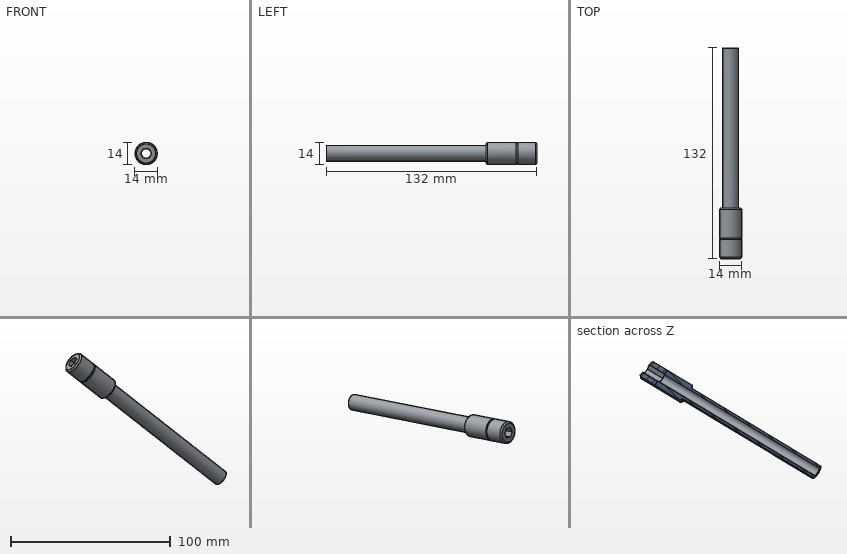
import cadquery as cq
import math

total_length = 132.0
front_y = -total_length / 2
body_diameter = 14.0
rod_diameter = 10.0
cap_length = 12.0
collar_length = 19.9
edge_chamfer = 1.0
joint_chamfer = 1.0
hex_across_flats = 6.0
bore_diameter = hex_across_flats

rod_length = total_length - cap_length - collar_length
hex_across_corners = hex_across_flats / math.cos(math.pi / 6)
joint_y = front_y + cap_length


def plane_at(y):
    """Plane across the axis, with its normal along +Y and its local x along X."""
    return cq.Plane(origin=(0, y, 0), xDir=(1, 0, 0), normal=(0, 1, 0))


def make_cap():
    """Cylindrical cap with a chamfered front rim and a hexagonal through hole."""
    cap = cq.Workplane(plane_at(front_y)).circle(body_diameter / 2).extrude(cap_length)
    cap = cap.faces("<Y").chamfer(edge_chamfer)
    hex_hole = cq.Workplane(plane_at(front_y)).polygon(6, hex_across_corners).extrude(cap_length)
    return cap.cut(hex_hole)


def make_stem():
    """Round-bored rod with a wider collar whose front chamfer leaves a groove behind the cap."""
    collar = cq.Workplane(plane_at(joint_y)).circle(body_diameter / 2).extrude(collar_length)
    collar = collar.faces("<Y").chamfer(joint_chamfer)
    collar = collar.faces(">Y").chamfer(edge_chamfer)
    rod = cq.Workplane(plane_at(joint_y + collar_length)).circle(rod_diameter / 2).extrude(rod_length)
    bore = cq.Workplane(plane_at(joint_y)).circle(bore_diameter / 2).extrude(collar_length + rod_length)
    return collar.union(rod).cut(bore)


cap = make_cap()
stem = make_stem()

result = cq.Compound.makeCompound([cap.val(), stem.val()])